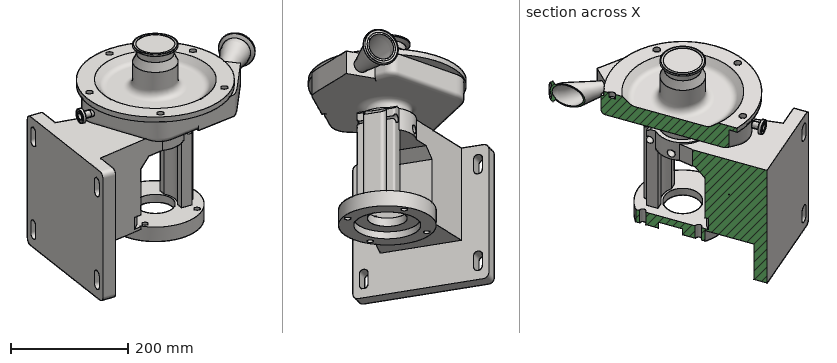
import cadquery as cq
import math


flange_radius = 135.0
flange_thickness = 10.0
bolt_circle_radius = 121.5
bolt_hole_diameter = 12.5
bolt_hole_depth = flange_thickness
first_bolt_angle = 45.0
corner_count = 5
dish_radius = 104.0
dish_depth = 15.0
dish_fillet = 15.0
dish_wall_angle = math.radians(45)

casing_bottom = -52.0
casing_corner_distance = 141.5
casing_corner_radius = 35.0
casing_bottom_fillet = 8.5
raised_corner_index = 1
raised_corner_distance = 145.5
raised_corner_angle = 114.9
raised_corner_radius = 18.0

volute_radius = 140.0
volute_end_angle = 55.0
volute_corner_radius = 12.0
discharge_angle = 135.0
block_face = 109.0
block_inner_edge = 70.0
outlet_end = 196.0
outlet_offset = 95.5
outlet_height = -32.0
outlet_rim_radius = 32.0
outlet_pipe_radius = 25.4
outlet_throat_radius = 13.0
outlet_throat_length = 3.0
outlet_bore_radius = 22.8
outlet_bore_depth = 13.6
outlet_wall = 2.4
outlet_overlap = 1.0
outlet_rim_thickness = 4.0
outlet_neck_start = 7.5
outlet_cone_start = 20.0

inlet_top = 69.0
inlet_radius = 39.0
inlet_neck_radius = 31.8
inlet_rim_radius = 39.0
inlet_rim_thickness = 3.0
inlet_rim_underside = 61.5
inlet_cone_top = 50.0
inlet_cone_bottom = 34.6
inlet_fillet = dish_depth

rim_fillet = 1.0
gasket_groove_size = 2.0
inlet_groove_radius = 35.3
outlet_groove_radius = 28.2
drain_groove_radius = 10.1
drain_groove_size = 1.5

drain_height = -29.5
drain_end = 150.8
drain_stub_radius = 6.6
drain_rim_radius = 13.2
drain_rim_thickness = 5.0
drain_cone_length = 3.0
drain_bore_radius = 5.6
drain_bore_depth = 20.0

hub_radius = 41.6
hub_fillet = 10.0
collar_radius = 50.0
collar_top = -72.0
collar_bottom = -111.7
collar_hole_height = -99.2
collar_hole_depth = 15.0
side_hole_diameter = 14.8

ring_radius = 83.5
ring_bore_radius = 34.0
ring_register_radius = 57.15
ring_register_depth = 13.0
ring_top = -241.6
ring_bottom = -270.0
ring_bolt_circle_radius = 73.5
ring_bolt_diameter = 11.0
ring_bolt_count = 4

post_half_width = 35.5
post_inner_y = 31.0
post_inner_radius = 38.0
post_shoulder_y = 53.6
post_shoulder_fillet = 4.0
post_back_y = 66.0
post_tail_half_width = 20.0
post_tail_fillet = 7.0
post_slope_width = 21.0
post_slope_drop = 15.4
post_hole_y = 46.6
post_hole_height = -95.0

plate_size = 250.0
plate_thickness = 25.4
plate_back_y = -180.0
plate_front_y = plate_back_y + plate_thickness
plate_top = -75.0
plate_corner_radius = 10.0
slot_length = 36.0
slot_width = 16.0
slot_half_spacing_x = 105.0
slot_half_spacing_z = 90.0
web_half_width_at_plate = 74.6
web_half_width_at_collar = 47.7
web_collar_y = -15.0
web_bottom = -247.0
web_inner_y = -63.5
web_chamfer = 18.5
web_notch = 14.5
web_notch_top = -219.0


def polar(radius, angle):
    """Point at a radius and an angle in degrees about the pump axis."""
    turn = math.radians(angle)
    return (radius * math.cos(turn), radius * math.sin(turn))


def cylinder(radius, bottom, top):
    return cq.Workplane("XY").workplane(offset=bottom).circle(radius).extrude(top - bottom)


def cylinder_along_x(diameter, y, z, x_start, length):
    plane = cq.Plane(origin=(x_start, y, z), xDir=(0, 1, 0), normal=(1, 0, 0))
    return cq.Workplane(plane).circle(diameter / 2).extrude(length)


def revolve_profile(points):
    """Solid of revolution about Z from (radius, height) points."""
    return cq.Workplane("XZ").polyline(points).close().revolve(360, (0, 0, 0), (0, 1, 0))


def finish_rim(fitting, face_height, groove_radius, groove_size):
    """Round the rim at the top face and sink a half-round gasket groove into that face."""
    rounded = fitting.faces(">Z").edges().fillet(rim_fillet)
    groove = (
        cq.Workplane("XZ")
        .center(groove_radius, face_height)
        .circle(groove_size)
        .revolve(360, (-groove_radius, 0, 0), (-groove_radius, 1, 0))
    )
    return rounded.cut(groove)


def make_flange():
    flange = cylinder(flange_radius, -flange_thickness, 0)
    for index in range(corner_count):
        angle = first_bolt_angle + index * 360 / corner_count
        hole = cylinder(bolt_hole_diameter / 2, -bolt_hole_depth, 0)
        flange = flange.cut(hole.translate((*polar(bolt_circle_radius, angle), 0)))
    return flange


def make_casing_body():
    corners = []
    for index in range(corner_count):
        angle = first_bolt_angle + index * 360 / corner_count
        corners.append(polar(casing_corner_distance, angle))
    corners[raised_corner_index] = polar(raised_corner_distance, raised_corner_angle)
    height = -flange_thickness - casing_bottom
    body = cq.Workplane("XY").workplane(offset=casing_bottom).polyline(corners).close().extrude(height)
    for index, corner in enumerate(corners):
        raised = index == raised_corner_index
        radius = raised_corner_radius if raised else casing_corner_radius
        middle = (*corner, casing_bottom + height / 2)
        body = body.edges(cq.selectors.NearestToPointSelector(middle)).fillet(radius)
    return body.faces("<Z").edges().fillet(casing_bottom_fillet)


def make_discharge_block():
    tilt = math.radians(volute_end_angle + 90 - discharge_angle)
    block_outer_edge = (volute_radius - block_face * math.sin(tilt)) / math.cos(tilt)
    half_side_angle = 180 / corner_count
    side_distance = casing_corner_distance * math.cos(math.radians(half_side_angle))
    turned_side = first_bolt_angle - half_side_angle - discharge_angle
    turned_start = turned_side + math.degrees(math.acos(side_distance / volute_radius))
    turned_end = volute_end_angle - discharge_angle
    block = (
        cq.Workplane("XY")
        .workplane(offset=casing_bottom)
        .moveTo(0, 0)
        .lineTo(*polar(side_distance, turned_side))
        .lineTo(*polar(volute_radius, turned_start))
        .threePointArc(
            polar(volute_radius, (turned_start + turned_end) / 2),
            polar(volute_radius, turned_end),
        )
        .lineTo(block_face, -block_outer_edge)
        .lineTo(block_face, -block_inner_edge)
        .close()
        .extrude(-flange_thickness - casing_bottom)
    )
    volute_corner = (*polar(volute_radius, turned_start), casing_bottom / 2)
    block = block.edges(cq.selectors.NearestToPointSelector(volute_corner)).fillet(volute_corner_radius)
    return block.rotate((0, 0, 0), (0, 0, 1), discharge_angle)


def place_outlet(shape):
    """Move a shape built along Z from the casing axis onto the outlet axis."""
    along_x = shape.rotate((0, 0, 0), (0, 1, 0), 90)
    return along_x.translate((0, -outlet_offset, outlet_height)).rotate(
        (0, 0, 0), (0, 0, 1), discharge_angle
    )


def make_outlet():
    cone_end = block_face + outlet_throat_length
    pipe = revolve_profile([
        (0, block_face - outlet_overlap),
        (outlet_throat_radius, block_face - outlet_overlap),
        (outlet_throat_radius, cone_end),
        (outlet_pipe_radius, outlet_end - outlet_cone_start),
        (outlet_pipe_radius, outlet_end - outlet_neck_start),
        (outlet_rim_radius, outlet_end - outlet_rim_thickness),
        (outlet_rim_radius, outlet_end),
        (0, outlet_end),
    ])
    return place_outlet(finish_rim(pipe, outlet_end, outlet_groove_radius, gasket_groove_size))


def make_outlet_bore():
    throat = outlet_throat_radius - outlet_wall
    bore = revolve_profile([
        (0, block_face),
        (throat, block_face),
        (throat, block_face + outlet_throat_length),
        (outlet_bore_radius, outlet_end - outlet_bore_depth),
        (outlet_bore_radius, outlet_end),
        (0, outlet_end),
    ])
    return place_outlet(bore)


def make_dish():
    """Ring-shaped recess in the flange, blended up into the inlet pipe."""
    blend_width = dish_fillet * math.sin(dish_wall_angle)
    blend_rise = dish_fillet * (1 - math.cos(dish_wall_angle))
    wall_bottom_radius = dish_radius - (dish_depth - blend_rise) / math.tan(dish_wall_angle)
    floor_radius = wall_bottom_radius - blend_width
    half_angle = dish_wall_angle / 2
    blend_middle = (
        floor_radius + dish_fillet * math.sin(half_angle),
        -dish_depth + dish_fillet * (1 - math.cos(half_angle)),
    )
    pipe_blend_middle = inlet_fillet * (1 - math.sqrt(0.5))
    return (
        cq.Workplane("XZ")
        .moveTo(inlet_radius, 0)
        .lineTo(dish_radius, 0)
        .lineTo(wall_bottom_radius, blend_rise - dish_depth)
        .threePointArc(blend_middle, (floor_radius, -dish_depth))
        .lineTo(inlet_radius + inlet_fillet, -dish_depth)
        .threePointArc(
            (inlet_radius + pipe_blend_middle, pipe_blend_middle - dish_depth),
            (inlet_radius, inlet_fillet - dish_depth),
        )
        .close()
        .revolve(360, (0, 0, 0), (0, 1, 0))
    )


def make_inlet():
    inlet = revolve_profile([
        (0, -flange_thickness),
        (inlet_radius, -flange_thickness),
        (inlet_radius, inlet_cone_bottom),
        (inlet_neck_radius, inlet_cone_top),
        (inlet_neck_radius, inlet_rim_underside),
        (inlet_rim_radius, inlet_top - inlet_rim_thickness),
        (inlet_rim_radius, inlet_top),
        (0, inlet_top),
    ])
    return finish_rim(inlet, inlet_top, inlet_groove_radius, gasket_groove_size)


def make_drain():
    rim_back = drain_end - drain_rim_thickness
    fitting = revolve_profile([
        (0, flange_radius / 2),
        (drain_stub_radius, flange_radius / 2),
        (drain_stub_radius, rim_back - drain_cone_length),
        (drain_rim_radius, rim_back),
        (drain_rim_radius, drain_end),
        (0, drain_end),
    ])
    fitting = finish_rim(fitting, drain_end, drain_groove_radius, drain_groove_size)
    fitting = fitting.cut(cylinder(drain_bore_radius, drain_end - drain_bore_depth, drain_end))
    return fitting.rotate((0, 0, 0), (1, 0, 0), 90).translate((0, 0, drain_height))


def make_hub():
    middle = hub_fillet * (1 - math.sqrt(0.5))
    return (
        cq.Workplane("XZ")
        .moveTo(0, collar_top)
        .lineTo(hub_radius, collar_top)
        .lineTo(hub_radius, casing_bottom - hub_fillet)
        .threePointArc(
            (hub_radius + middle, casing_bottom - middle),
            (hub_radius + hub_fillet, casing_bottom),
        )
        .lineTo(0, casing_bottom)
        .close()
        .revolve(360, (0, 0, 0), (0, 1, 0))
    )


def make_collar():
    collar = cylinder(collar_radius, collar_bottom, collar_top)
    return collar.cut(
        cylinder_along_x(side_hole_diameter, 0, collar_hole_height, -collar_radius, collar_hole_depth)
    )


def make_ring():
    ring = cylinder(ring_radius, ring_bottom, ring_top)
    ring = ring.cut(cylinder(ring_bore_radius, ring_bottom, ring_top))
    return ring.cut(cylinder(ring_register_radius, ring_bottom, ring_bottom + ring_register_depth))


def cut_ring_bolt_holes(body):
    for index in range(ring_bolt_count):
        angle = (index + 0.5) * 360 / ring_bolt_count
        hole = cylinder(ring_bolt_diameter / 2, ring_bottom, ring_top)
        body = body.cut(hole.translate((*polar(ring_bolt_circle_radius, angle), 0)))
    return body


def make_post():
    height = collar_top - ring_top
    front = (
        cq.Workplane("XY")
        .box(2 * post_half_width, post_shoulder_y - post_inner_y, height, centered=(True, False, False))
        .translate((0, post_inner_y, ring_top))
        .edges("|Z and >Y")
        .fillet(post_shoulder_fillet)
    )
    tail = (
        cq.Workplane("XY")
        .box(2 * post_tail_half_width, post_back_y - post_inner_y, height, centered=(True, False, False))
        .translate((0, post_inner_y, ring_top))
        .edges("|Z and >Y")
        .fillet(post_tail_fillet)
    )
    slope = (
        cq.Workplane("YZ")
        .polyline([
            (post_back_y - post_slope_width, collar_top),
            (post_back_y, collar_top - post_slope_drop),
            (post_back_y, collar_top),
        ])
        .close()
        .extrude(post_half_width, both=True)
    )
    post = front.union(tail).cut(slope)
    return post.cut(cylinder(post_inner_radius, ring_top, collar_bottom))


def make_foot_plate():
    plate_middle = plate_top - plate_size / 2
    plane = cq.Plane(origin=(0, plate_back_y, plate_middle), xDir=(-1, 0, 0), normal=(0, 1, 0))
    plate = cq.Workplane(plane).rect(plate_size, plate_size).extrude(plate_thickness)
    plate = plate.edges("|Y").fillet(plate_corner_radius)
    slots = (
        cq.Workplane(plane)
        .rect(2 * slot_half_spacing_x, 2 * slot_half_spacing_z, forConstruction=True)
        .vertices()
        .slot2D(slot_length, slot_width, 90)
        .extrude(plate_thickness)
    )
    return plate.cut(slots)


def make_web():
    side_profile = (
        cq.Workplane("YZ")
        .polyline([
            (plate_front_y, plate_top),
            (0, plate_top),
            (0, collar_bottom),
            (web_inner_y + web_chamfer, collar_bottom),
            (web_inner_y, collar_bottom - web_chamfer),
            (web_inner_y, web_bottom),
            (plate_front_y, web_bottom),
        ])
        .close()
        .extrude(web_half_width_at_plate, both=True)
    )
    plan_profile = (
        cq.Workplane("XY")
        .workplane(offset=web_bottom)
        .polyline([
            (-web_half_width_at_plate, plate_front_y),
            (web_half_width_at_plate, plate_front_y),
            (web_half_width_at_collar, web_collar_y),
            (-web_half_width_at_collar, web_collar_y),
        ])
        .close()
        .extrude(plate_top - web_bottom)
    )
    return side_profile.intersect(plan_profile)


def make_web_notches():
    """Clearances above the two ring bolts next to the web."""
    taper = (web_half_width_at_plate - web_half_width_at_collar) / (web_collar_y - plate_front_y)
    notch_y = web_inner_y - web_notch
    notch_x = web_half_width_at_collar + taper * (web_collar_y - notch_y)
    notch = (
        cq.Workplane("XY")
        .workplane(offset=ring_top)
        .polyline([
            (-notch_x, notch_y),
            (web_notch - notch_x, web_inner_y),
            (-notch_x, web_inner_y),
        ])
        .close()
        .extrude(web_notch_top - ring_top)
    )
    return notch.union(notch.mirror("YZ"))


casing = make_flange().union(make_casing_body()).union(make_discharge_block()).cut(make_dish())
casing = casing.union(make_inlet()).union(make_outlet()).cut(make_outlet_bore())
casing = casing.union(make_drain()).union(make_hub())

bracket = make_collar().union(make_post()).union(make_web()).union(make_ring())
bracket = bracket.cut(make_web_notches())
bracket = cut_ring_bolt_holes(bracket)
bracket = bracket.cut(
    cylinder_along_x(side_hole_diameter, post_hole_y, post_hole_height, -post_half_width, 2 * post_half_width)
)
bracket = bracket.union(make_foot_plate())

result = casing.union(bracket)